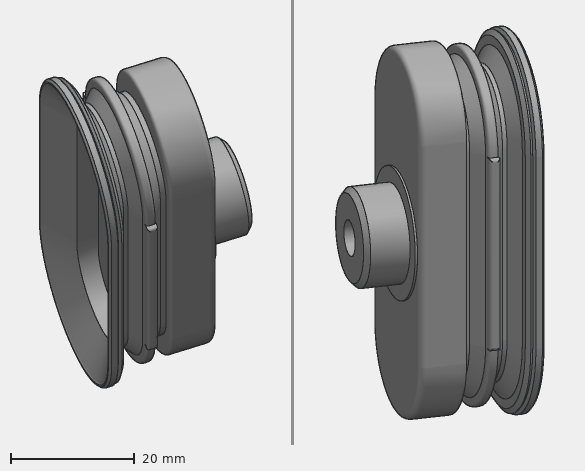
import cadquery as cq
import math


total_height = 65.0
total_depth = 28.0
lip_radius = 16.0
cup_half_straight = total_height / 2 - lip_radius

lip_chamfer = 0.4
lip_depth = 1.5
lip_groove_radius = 15.35
lip_groove_depth = 1.8
rear_lip_radius = 15.7
rear_lip_depth = 2.3
rear_lip_flat_radius = 14.8
rear_lip_back = 2.9
lip_cone_radius = 13.25
neck_radius = 10.45
front_neck_start = 4.6
front_neck_end = 5.4
fold_cone_radius = 12.4
fold_radius = 14.0
fold_start = 7.15
fold_end = 8.9
fold_round = 0.5
rear_neck_start = 11.0

bar_half_width = 14.95
bar_round = 0.5

mouth_radius = 15.15
mouth_chamfer = 0.2
cavity_radius = 9.35
cavity_cone_depth = 4.1
cavity_depth = 9.75
island_radius = 6.95
island_top_depth = 6.9

carrier_start = 11.95
carrier_end = 20.0
carrier_radius = 12.4
carrier_half_height = 31.5
carrier_half_straight = carrier_half_height - carrier_radius
carrier_front_round = 0.6
carrier_back_round = 1.05

washer_radius = 11.05
washer_end = 20.4
spigot_radius = 8.3
spigot_chamfer = 0.9

bore_radius = 4.0
hex_across_flats = 6.05
hex_depth = 3.9
through_radius = 3.0


def disc(radius, y_start, y_end):
    """Round disc on the Y axis."""
    return cq.Workplane("XZ", origin=(0, y_start, 0)).circle(radius).extrude(y_start - y_end)


def oval(radius, half_straight, y_start, y_end):
    """Upright oval prism with rounded ends, between two depths."""
    return (
        cq.Workplane("XZ", origin=(0, y_start, 0))
        .slot2D(2 * (half_straight + radius), 2 * radius, 90)
        .extrude(y_start - y_end)
    )


def carried_around_oval(profile):
    """Solid whose half section, drawn in XY from the Y axis outward, runs around the cup's oval."""
    half_middle = profile.extrude(cup_half_straight, both=True)
    middle = half_middle.union(half_middle.mirror("YZ"))
    half_turn = profile.toPending().revolve(180, (0, 0, 0), (0, 1, 0))
    bottom_end = half_turn.translate((0, 0, -cup_half_straight))
    return middle.union(bottom_end).union(bottom_end.mirror("XY"))


def bellows_body():
    """Solid bellows: two lips at the mouth, a neck, one rounded fold and a second neck."""
    fold_rounding = fold_round * (1 - math.sqrt(0.5))
    profile = (
        cq.Workplane("XY")
        .lineTo(lip_radius - lip_chamfer, 0)
        .lineTo(lip_radius, lip_chamfer)
        .lineTo(lip_radius, lip_depth)
        .lineTo(lip_groove_radius, lip_groove_depth)
        .lineTo(rear_lip_radius, rear_lip_depth)
        .lineTo(rear_lip_flat_radius, rear_lip_back)
        .lineTo(lip_cone_radius, rear_lip_back)
        .lineTo(neck_radius, front_neck_start)
        .lineTo(neck_radius, front_neck_end)
        .lineTo(fold_cone_radius, fold_start)
        .lineTo(fold_radius - fold_round, fold_start)
        .threePointArc(
            (fold_radius - fold_rounding, fold_start + fold_rounding),
            (fold_radius, fold_start + fold_round),
        )
        .lineTo(fold_radius, fold_end - fold_round)
        .threePointArc(
            (fold_radius - fold_rounding, fold_end - fold_rounding),
            (fold_radius - fold_round, fold_end),
        )
        .lineTo(fold_cone_radius, fold_end)
        .lineTo(neck_radius, rear_neck_start)
        .lineTo(neck_radius, carrier_start)
        .lineTo(0, carrier_start)
        .close()
    )
    return carried_around_oval(profile)


def fold_bars():
    """Rounded bar across the cup that stands proud of the fold on both straight sides."""
    return (
        cq.Workplane("XY")
        .box(2 * bar_half_width, fold_end - fold_start, 2 * cup_half_straight)
        .translate((0, (fold_start + fold_end) / 2, 0))
        .faces("<X or >X")
        .edges()
        .fillet(bar_round)
    )


def suction_cavity():
    """Funnel mouth and straight-walled chamber with a flat oval island left on its floor."""
    profile = (
        cq.Workplane("XY")
        .lineTo(mouth_radius + mouth_chamfer, 0)
        .lineTo(mouth_radius, mouth_chamfer)
        .lineTo(cavity_radius, cavity_cone_depth)
        .lineTo(cavity_radius, cavity_depth)
        .lineTo(0, cavity_depth)
        .close()
    )
    island = oval(island_radius, cup_half_straight, island_top_depth, cavity_depth)
    return carried_around_oval(profile).cut(island)


def carrier():
    """Oval block behind the bellows with rounded front and back rims."""
    block = oval(carrier_radius, carrier_half_straight, carrier_start, carrier_end)
    block = block.faces("<Y").edges().fillet(carrier_front_round)
    return block.faces(">Y").edges().fillet(carrier_back_round)


def spigot():
    """Thin washer and the round rear spigot with its chamfered end."""
    washer = disc(washer_radius, carrier_end, washer_end)
    stem = disc(spigot_radius, carrier_end, total_depth).faces(">Y").edges().chamfer(spigot_chamfer)
    return washer.union(stem)


def bore():
    """Wide bore from the island, a hexagon socket behind it and a round hole through the rest."""
    hex_across_corners = hex_across_flats / math.cos(math.pi / 6)
    socket = (
        cq.Workplane("XZ", origin=(0, carrier_end, 0))
        .transformed(rotate=(0, 0, 90))
        .polygon(6, hex_across_corners)
        .extrude(-hex_depth)
    )
    wide = disc(bore_radius, island_top_depth, carrier_end)
    return wide.union(socket).union(disc(through_radius, island_top_depth, total_depth))


result = (
    bellows_body()
    .union(fold_bars())
    .cut(suction_cavity())
    .union(carrier())
    .union(spigot())
    .cut(bore())
)